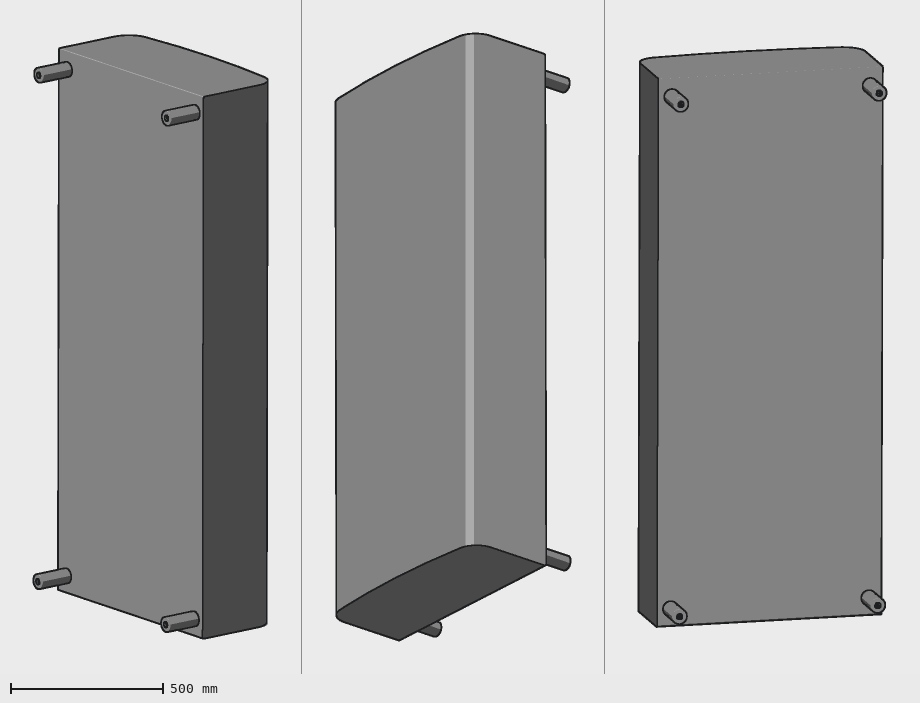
import cadquery as cq

WIDTH = 762.0
HEIGHT = 1847.85
BODY_DEPTH = 326.69
BOW_RISE = 25.4
BACK_CORNER_RADIUS = 76.2
FRONT_EDGE_RADIUS = 6.35

LEG_LENGTH = 120.65
LEG_DIAMETER = 50.8
LEG_TIP_RADIUS = 2.2
RECESS_DIAMETER = 19.05
RECESS_DEPTH = 9.525
BOLT_HOLE_DIAMETER = 7.94
BOLT_HOLE_DEPTH = 38.1
LEG_SPACING_X = 673.1
LEG_SPACING_Z = 1725.4
LEG_PATTERN_X = 0.8
LEG_PATTERN_Z = -0.8

LEAN_ANGLE = 0.155


def make_body():
    """Bowed block standing along Z, its front face in the plane Y = 0."""
    half_width = WIDTH / 2
    side_depth = BODY_DEPTH - BOW_RISE
    block = (
        cq.Workplane("XY")
        .workplane(offset=-HEIGHT / 2)
        .moveTo(-half_width, 0)
        .lineTo(half_width, 0)
        .lineTo(half_width, side_depth)
        .threePointArc((0, BODY_DEPTH), (-half_width, side_depth))
        .close()
        .extrude(HEIGHT)
    )
    block = block.edges("|Z").edges(">Y").fillet(BACK_CORNER_RADIUS)
    return block.faces("<Y").edges("|X").fillet(FRONT_EDGE_RADIUS)


def make_leg(x, z):
    """Round leg running toward -Y from the front face, with a stepped hole in its tip."""
    leg = (
        cq.Workplane("XZ")
        .center(x, z)
        .circle(LEG_DIAMETER / 2)
        .extrude(LEG_LENGTH)
        .faces("<Y")
        .edges()
        .fillet(LEG_TIP_RADIUS)
    )
    return (
        leg.faces("<Y")
        .workplane(centerOption="CenterOfMass")
        .cboreHole(BOLT_HOLE_DIAMETER, RECESS_DIAMETER, RECESS_DEPTH, BOLT_HOLE_DEPTH)
    )


def lean(part):
    """Turn a finished body about the Y axis."""
    return part.rotate((0, 0, 0), (0, 1, 0), LEAN_ANGLE)


body = lean(make_body())

legs = []
for row in (-1, 1):
    for side in (-1, 1):
        leg_x = LEG_PATTERN_X + side * LEG_SPACING_X / 2
        leg_z = LEG_PATTERN_Z + row * LEG_SPACING_Z / 2
        legs.append(lean(make_leg(leg_x, leg_z)))

result = cq.Compound.makeCompound([body.val(), *[leg.val() for leg in legs]])